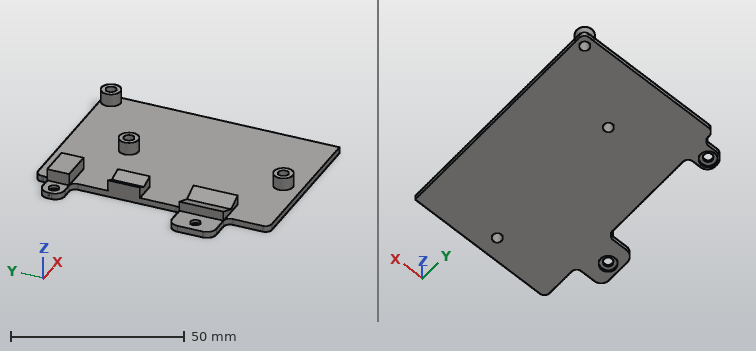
import cadquery as cq

plate_width = 49.95
plate_length = 74.0
plate_thickness = 2.0
corner_radius = 2.0

overall_height = 6.0
boss_diameter = 6.0
boss_hole_diameter = 3.2
boss_centers = [(46.9, 71.0), (23.8, 55.0), (23.6, 6.0)]

tab_hole_diameter = 3.0
tab_counterbore_diameter = 5.5
tab_counterbore_depth = plate_thickness / 2
tab_corner_radius = 2.95
tab_root_radius = 2.0

small_tab_reach = 8.0
small_tab_bottom = 62.45
small_tab_top = 69.4
small_tab_hole_x = -4.9

large_tab_reach = 10.1
large_tab_bottom = 13.55
large_tab_top = 27.5
large_tab_hole_x = -6.2

flat_block_left = -1.8
flat_block_right = 8.4
flat_block_height = 5.8

middle_block_bottom = 40.85
middle_block_top = 51.0
middle_block_right = 7.0
middle_valley_x = 2.8
middle_block_height = 5.5
middle_valley_height = 4.2

large_block_left = -2.0
large_block_right = 8.15
large_valley_x = 3.4
large_block_height = 5.0
large_valley_height = 2.95


def make_tab(reach, bottom, top):
    """Rounded mounting tab that sticks out past the left plate edge."""
    length = reach + tab_corner_radius
    return (
        cq.Workplane("XY")
        .box(length, top - bottom, plate_thickness, centered=False)
        .edges("|Z and <X")
        .fillet(tab_corner_radius)
        .translate((-reach, bottom, 0))
    )


def make_block(profile, bottom, top):
    """Block with the given XZ profile, spanning bottom to top along Y."""
    return (
        cq.Workplane("XZ", origin=(0, bottom, 0))
        .polyline(profile)
        .close()
        .extrude(bottom - top)
    )


def make_valley_block(left, right, valley_x, height, valley_height, bottom, top):
    """Block whose upper face is a V-shaped valley running along Y."""
    profile = [
        (left, 0),
        (right, 0),
        (right, height),
        (valley_x, valley_height),
        (left, height),
    ]
    return make_block(profile, bottom, top)


plate = cq.Workplane("XY").box(plate_width, plate_length, plate_thickness, centered=False)
plate = plate.edges("|Z and (<X or >Y)").fillet(corner_radius)

plate = plate.union(make_tab(small_tab_reach, small_tab_bottom, small_tab_top))
plate = plate.union(make_tab(large_tab_reach, large_tab_bottom, large_tab_top))
for root_y in (small_tab_bottom, small_tab_top, large_tab_bottom, large_tab_top):
    root_edge = cq.selectors.NearestToPointSelector((0, root_y, plate_thickness / 2))
    plate = plate.edges("|Z").edges(root_edge).fillet(tab_root_radius)

flat_profile = [
    (flat_block_left, 0),
    (flat_block_right, 0),
    (flat_block_right, flat_block_height),
    (flat_block_left, flat_block_height),
]
result = plate.union(make_block(flat_profile, small_tab_bottom, small_tab_top))
result = result.union(
    make_valley_block(
        0, middle_block_right, middle_valley_x,
        middle_block_height, middle_valley_height,
        middle_block_bottom, middle_block_top,
    )
)
result = result.union(
    make_valley_block(
        large_block_left, large_block_right, large_valley_x,
        large_block_height, large_valley_height,
        large_tab_bottom, large_tab_top,
    )
)

bosses = (
    cq.Workplane("XY")
    .pushPoints(boss_centers)
    .circle(boss_diameter / 2)
    .extrude(overall_height)
)
boss_holes = (
    cq.Workplane("XY")
    .pushPoints(boss_centers)
    .circle(boss_hole_diameter / 2)
    .extrude(overall_height)
)
result = result.union(bosses).cut(boss_holes)

tab_hole_centers = [
    (small_tab_hole_x, (small_tab_bottom + small_tab_top) / 2),
    (large_tab_hole_x, (large_tab_bottom + large_tab_top) / 2),
]
tab_holes = (
    cq.Workplane("XY")
    .pushPoints(tab_hole_centers)
    .circle(tab_hole_diameter / 2)
    .extrude(plate_thickness)
)
tab_counterbores = (
    cq.Workplane("XY")
    .pushPoints(tab_hole_centers)
    .circle(tab_counterbore_diameter / 2)
    .extrude(tab_counterbore_depth)
)
result = result.cut(tab_holes).cut(tab_counterbores)